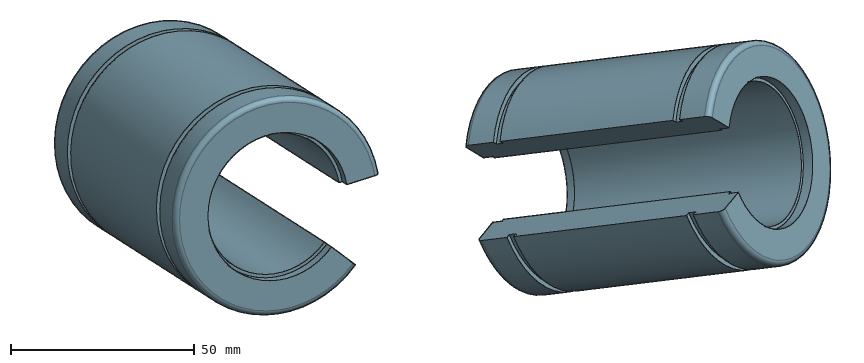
import cadquery as cq
import math

length = 80.0
outer_diameter = 62.0
outer_radius = outer_diameter / 2
bore_radius = 20.0
edge_radius = 1.5

recess_radius = 21.0
recess_depth = 3.0

groove_width = 2.2
groove_floor_radius = 29.5
groove_setback = 9.7

opening_top_angle = 10.0
opening_bottom_angle = -40.0


def cylinder(radius, start, depth):
    """Solid cylinder on the X axis, beginning at x = start."""
    return cq.Workplane("YZ", origin=(start, 0, 0)).circle(radius).extrude(depth)


def groove(start):
    """Ring of material removed by one retaining ring groove."""
    ring = cylinder(outer_diameter, start, groove_width)
    return ring.cut(cylinder(groove_floor_radius, start, groove_width))


def opening():
    """Wedge from the axis outward, reaching past the outer surface."""
    reach = outer_diameter
    corners = [(0, 0)]
    for angle in (opening_bottom_angle, opening_top_angle):
        direction = math.radians(angle)
        corners.append((reach * math.cos(direction), reach * math.sin(direction)))
    profile = cq.Workplane("YZ", origin=(-length / 2, 0, 0)).polyline(corners).close()
    return profile.extrude(length)


left_end = -length / 2
right_end = length / 2

sleeve = cylinder(outer_radius, left_end, length).edges("%CIRCLE").fillet(edge_radius)
sleeve = sleeve.cut(cylinder(bore_radius, left_end, length))

for recess_start in (left_end, right_end - recess_depth):
    sleeve = sleeve.cut(cylinder(recess_radius, recess_start, recess_depth))

for groove_start in (left_end + groove_setback, right_end - groove_setback - groove_width):
    sleeve = sleeve.cut(groove(groove_start))

result = sleeve.cut(opening())